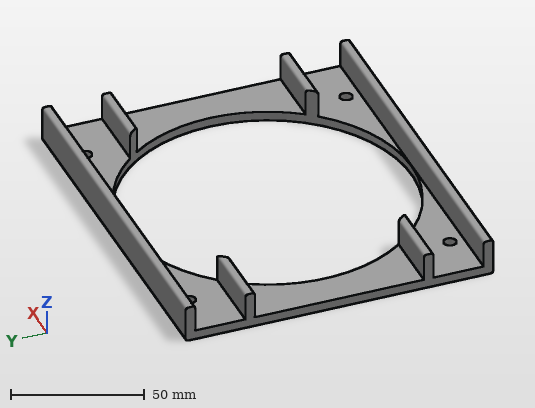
import cadquery as cq

length = 145.0
width = 124.0
height = 15.0

wall = 3.9
floor = 3.9
inner_rib_offset = 24.0
edge_radius = 1.2

bore_diameter = 116.0
screw_hole_diameter = 5.0
screw_hole_pitch = 105.0


def box_along_x(y_center, y_size, z_size):
    """Full-length bar standing on the bottom plane."""
    return (
        cq.Workplane("XY")
        .center(0, y_center)
        .box(length, y_size, z_size, centered=(True, True, False))
    )


def rib(y_center):
    """Full-length rib with both top edges rounded."""
    return box_along_x(y_center, wall, height).edges("|X and >Z").fillet(edge_radius)


side_wall_y = (width - wall) / 2
inner_rib_y = side_wall_y - inner_rib_offset
body = box_along_x(0, width, floor)
for y_center in (side_wall_y, inner_rib_y, -inner_rib_y, -side_wall_y):
    body = body.union(rib(y_center))

body = body.edges("|X and <Z").fillet(edge_radius)

bore = cq.Workplane("XY").circle(bore_diameter / 2).extrude(height)

screw_holes = (
    cq.Workplane("XY")
    .rect(screw_hole_pitch, screw_hole_pitch, forConstruction=True)
    .vertices()
    .circle(screw_hole_diameter / 2)
    .extrude(floor)
)

result = body.cut(bore).cut(screw_holes)